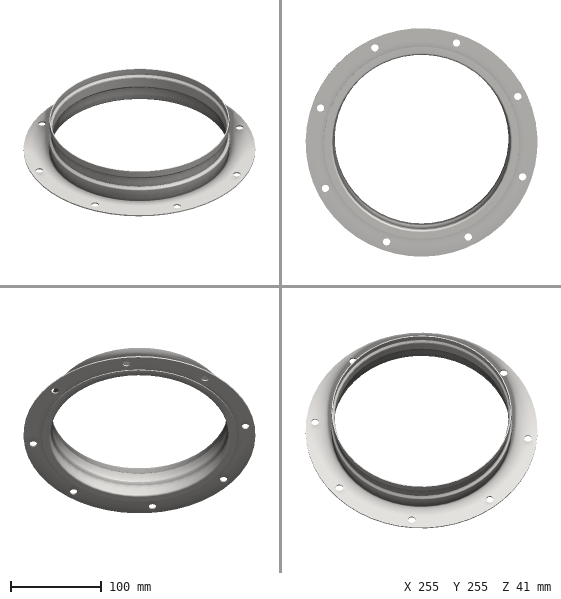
import cadquery as cq
import math

flange_diameter = 255.0
flange_thickness = 1.5
flange_bore_radius = 100.5
bolt_circle_diameter = 235.0
bolt_hole_diameter = 8.2
bolt_count = 8

sheet = 1.0
lip_radius = 107.4
foot_radius = 99.0
shoulder_radius = 99.5
groove_radius = 96.6
rim_radius = 99.0

collar_height = 41.0
taper_start_z = 7.0
shoulder_z = 16.5
groove_top_z = 30.9

groove_bottom_z = shoulder_z + shoulder_radius - groove_radius
rim_bottom_z = groove_top_z + rim_radius - groove_radius
bend_shift = sheet * math.tan(math.radians(22.5))

foot_inside_bend = 1.0
foot_outside_bend = foot_inside_bend + sheet

groove_inside_bend = 0.5
groove_outside_bend = groove_inside_bend + sheet


def round_edge(body, radius, height, fillet):
    """Fillet the circular edge with the given radius and height."""
    tolerance = 0.03
    bend_edges = [
        edge
        for edge in body.edges("%CIRCLE").vals()
        if abs(edge.radius() - radius) < tolerance and abs(edge.Center().z - height) < tolerance
    ]
    return body.newObject(bend_edges).fillet(fillet)


def make_collar():
    """Thin sleeve with a rolled groove and an outward lip below the flange."""
    outer_profile = [
        (lip_radius, 0),
        (lip_radius, sheet),
        (foot_radius, sheet),
        (foot_radius, taper_start_z),
        (shoulder_radius, shoulder_z),
        (groove_radius, groove_bottom_z),
        (groove_radius, groove_top_z),
        (rim_radius, rim_bottom_z),
        (rim_radius, collar_height),
    ]
    inner_profile = [
        (rim_radius - sheet, collar_height),
        (rim_radius - sheet, rim_bottom_z + bend_shift),
        (groove_radius - sheet, groove_top_z + bend_shift),
        (groove_radius - sheet, groove_bottom_z - bend_shift),
        (shoulder_radius - sheet, shoulder_z - bend_shift),
        (foot_radius - sheet, taper_start_z),
        (foot_radius - sheet, 0),
    ]
    body = (
        cq.Workplane("XZ")
        .polyline(outer_profile + inner_profile)
        .close()
        .revolve(360, (0, 0, 0), (0, 1, 0))
    )
    body = round_edge(body, foot_radius, sheet, foot_inside_bend)
    body = round_edge(body, foot_radius - sheet, 0, foot_outside_bend)

    convex_bends = [
        (shoulder_radius, shoulder_z, -bend_shift),
        (rim_radius, rim_bottom_z, bend_shift),
    ]
    concave_bends = [
        (groove_radius, groove_bottom_z, -bend_shift),
        (groove_radius, groove_top_z, bend_shift),
    ]
    for radius, height, shift in convex_bends:
        body = round_edge(body, radius, height, groove_outside_bend)
        body = round_edge(body, radius - sheet, height + shift, groove_inside_bend)
    for radius, height, shift in concave_bends:
        body = round_edge(body, radius, height, groove_inside_bend)
        body = round_edge(body, radius - sheet, height + shift, groove_outside_bend)
    return body


def make_flange():
    """Flat ring resting on the collar lip and clear of its bend, with a circle of bolt holes."""
    ring = (
        cq.Workplane("XY")
        .workplane(offset=sheet)
        .circle(flange_diameter / 2)
        .circle(flange_bore_radius)
        .extrude(flange_thickness)
    )
    return (
        ring.faces(">Z")
        .workplane(origin=(0, 0, 0))
        .polarArray(bolt_circle_diameter / 2, 0, 360, bolt_count)
        .hole(bolt_hole_diameter)
    )


collar = make_collar()
flange = make_flange()

result = cq.Compound.makeCompound([collar.val(), flange.val()])